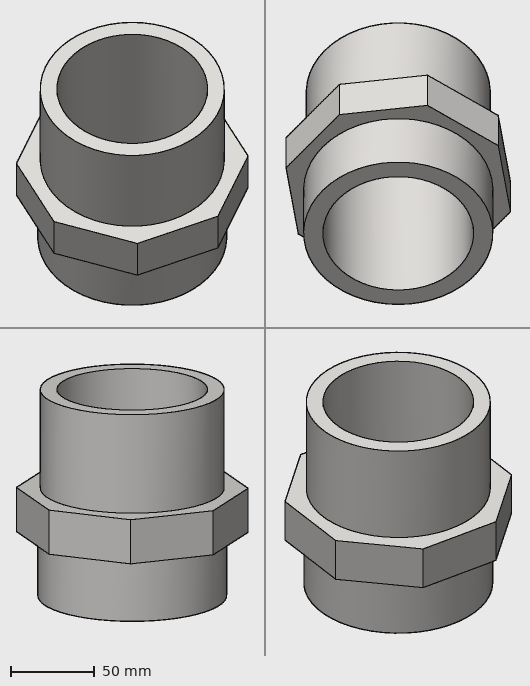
import cadquery as cq

total_height = 128.0
across_flats = 128.0

lower_length = 39.4
collar_length = 27.4
upper_length = total_height - lower_length - collar_length

lower_diameter = 113.0
upper_diameter = 110.0
bore_diameter = 90.0


def cylinder(diameter, length, base_z):
    """Upright cylinder on the Z axis, starting at base_z."""
    return cq.Workplane("XY").workplane(offset=base_z).circle(diameter / 2).extrude(length)


def octagonal_collar():
    """Wrench collar with flats facing the X and Y axes, as two crossed square blocks."""
    block = (
        cq.Workplane("XY")
        .workplane(offset=lower_length)
        .rect(across_flats, across_flats)
        .extrude(collar_length)
    )
    turned_block = block.rotate((0, 0, 0), (0, 0, 1), 45)
    return block.intersect(turned_block)


lower_barrel = cylinder(lower_diameter, lower_length, 0)
upper_barrel = cylinder(upper_diameter, upper_length, lower_length + collar_length)
through_bore = cylinder(bore_diameter, total_height, 0)

result = lower_barrel.union(octagonal_collar()).union(upper_barrel).cut(through_bore)